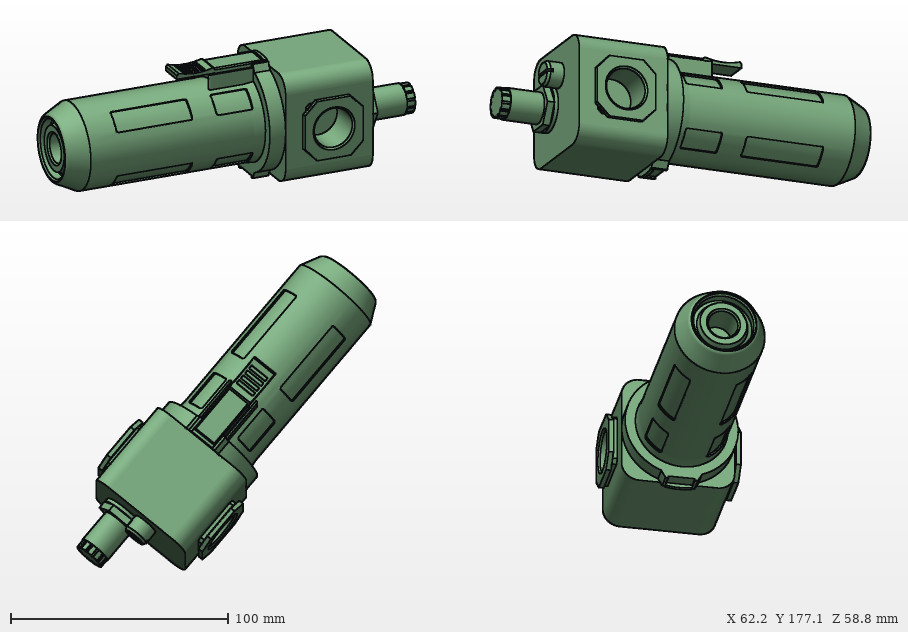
import cadquery as cq
import math

bowl_cone_top = 10.3
bowl_top = 98.5
collar_top = 106.5
body_top = 150.7
knob_top = 177.1

body_side = 53.1
body_corner_radius = 8.1

port_span = 62.2
port_y = 129.0
port_plate_side = 29.4
port_plate_corner = 6.2
port_plate_thickness = 2.3
port_neck_side = 24.8
port_neck_corner = 2.0
port_bore_diameter = 19.3
port_bore_depth = 17.7
port_bore_chamfer = 0.9

bowl_radius = 21.3
bowl_shoulder_radius = 21.8
bowl_shoulder_length = 5.7
bowl_end_radius = 16.8
bowl_end_rounding_height = 1.2
rim_outer_radius = 15.4
rim_inner_radius = 15.0
recess_radius = 14.2
recess_depth = 5.3
recess_floor_rise = 1.0
nozzle_base_radius = 12.0
nozzle_diameter = 22.0
nozzle_setback = 1.5
drain_diameter = 14.0
drain_mouth_diameter = 15.8
drain_depth = 17.7

window_width = 10.6
window_depth = 0.9
window_corner_radius = 0.9
window_spans = ((24.8, 63.2), (75.5, 93.7))
window_angles = (45, 135, 225, 315)

tab_base_half_width = 9.5
tab_base_z = 24.8
tab_top_half_width = 7.6
tab_top_z = 28.3
channel_floor_z = 27.5
lip_thickness = 1.8
lip_edge_z = 28.9
lip_crest_z = 29.4

latch_width = 12.4
latch_bottom_z = 26.5
latch_top_z = 28.9
latch_edge_chamfer = 0.7
latch_back_y = 104.8
thumb_start_y = 79.9
thumb_end_y = 60.7
thumb_peak_z = 29.4
thumb_dip_z = 28.2
thumb_slope = 0.9
guide_end_y = 76.2
guide_width = 16.8
guide_thickness = 1.0
guide_top_z = 27.0
guide_edge_radius = 0.7
grip_count = 4
grip_width = 9.5
grip_length = 1.8
grip_pitch = 3.0
grip_center_y = 70.1
grip_floor_z = 27.6

knob_x = 8.9
knob_z = -1.0
knob_diameter = 15.0
knob_grip_diameter = 14.3
knob_grip_length = 4.3
knob_notch_count = 12
knob_notch_width = 1.0
knob_notch_depth = 0.7
nut_top = 156.2
nut_bottom = 152.7
nut_across_flats = 19.3
washer_diameter = 22.0

plug_x = -3.0
plug_z = 11.9
plug_diameter = 12.0
plug_top = 158.9
plug_chamfer_radial = 0.9
plug_chamfer_axial = 1.5
plug_slot_width = 1.2
plug_slot_depth = 2.7


def section_at(y, x=0.0, z=0.0):
    """Workplane across the Y axis; extruding it goes towards -Y."""
    return cq.Workplane("XZ", origin=(x, y, z))


def rod(diameter, y_low, y_high, x=0.0, z=0.0):
    return section_at(y_high, x, z).circle(diameter / 2).extrude(y_high - y_low)


def block(x_size, y_low, y_high, z_low, z_high):
    """Box centred on X = 0."""
    face = section_at(y_high, 0, (z_low + z_high) / 2).rect(x_size, z_high - z_low)
    return face.extrude(y_high - y_low)


def make_body():
    body = section_at(body_top).rect(body_side, body_side).extrude(body_top - collar_top)
    return body.edges("|Y").fillet(body_corner_radius)


def port_block(side, corner, x_length):
    """Square block with chamfered corners running right through the body along X."""
    square = cq.Workplane("YZ", origin=(0, port_y, 0)).rect(side, side).extrude(x_length / 2, both=True)
    return square.edges("|X").chamfer(corner)


def make_ports():
    plates = port_block(port_plate_side, port_plate_corner, port_span)
    gap = cq.Workplane("XY").box(port_span - 2 * port_plate_thickness, body_top, body_side * 2)
    plates = plates.cut(gap.translate((0, port_y, 0)))
    necks = port_block(port_neck_side, port_neck_corner, port_span - 2 * port_plate_thickness)
    return plates, necks


def make_port_bore():
    """Blind bore on the -X side, with a chamfered mouth."""
    mouth_x = -port_span / 2
    radius = port_bore_diameter / 2
    profile = [
        (mouth_x, 0),
        (mouth_x, radius + port_bore_chamfer),
        (mouth_x + port_bore_chamfer, radius),
        (mouth_x + port_bore_depth, radius),
        (mouth_x + port_bore_depth, 0),
    ]
    bore = cq.Workplane("XY").polyline(profile).close().revolve(360, (0, 0), (1, 0))
    return bore.translate((0, port_y, 0))


def make_bowl():
    drain_chamfer = (drain_mouth_diameter - drain_diameter) / 2
    nozzle_radius = nozzle_diameter / 2
    half_section = (
        cq.Workplane("XY")
        .moveTo(0, collar_top)
        .lineTo(bowl_shoulder_radius, collar_top)
        .lineTo(bowl_shoulder_radius, bowl_top)
        .lineTo(bowl_radius, bowl_top - bowl_shoulder_length)
        .lineTo(bowl_radius, bowl_cone_top)
        .lineTo(bowl_end_radius, bowl_end_rounding_height)
        .tangentArcPoint((rim_outer_radius, 0), relative=False)
        .lineTo(rim_inner_radius, 0)
        .lineTo(recess_radius, rim_inner_radius - recess_radius)
        .lineTo(recess_radius, recess_depth)
        .lineTo(nozzle_base_radius, recess_depth - recess_floor_rise)
        .lineTo(nozzle_radius, nozzle_setback)
        .lineTo(drain_mouth_diameter / 2, nozzle_setback)
        .lineTo(drain_diameter / 2, nozzle_setback + drain_chamfer)
        .lineTo(drain_diameter / 2, drain_depth)
        .lineTo(0, drain_depth)
        .close()
    )
    return half_section.revolve(360, (0, 0), (0, 1))


def make_window_cutter(y_low, y_high, angle):
    """Rounded pad that removes a shallow layer down to a round floor."""
    pad = (
        cq.Workplane("XY", origin=(0, (y_low + y_high) / 2, 0))
        .rect(window_width, y_high - y_low)
        .extrude(body_side / 2)
        .edges("|Z")
        .fillet(window_corner_radius)
        .rotate((0, 0, 0), (0, 1, 0), angle)
    )
    return pad.cut(rod(2 * (bowl_radius - window_depth), 0, bowl_top))


def make_tab():
    """Tapered collar tab at +Z with a channel closed by a curved lip at its back."""
    outline = [
        (-tab_base_half_width, 0),
        (-tab_base_half_width, tab_base_z),
        (-tab_top_half_width, tab_top_z),
        (tab_top_half_width, tab_top_z),
        (tab_base_half_width, tab_base_z),
        (tab_base_half_width, 0),
    ]
    tab = section_at(collar_top).polyline(outline).close().extrude(collar_top - bowl_top)
    channel = block(latch_width, bowl_top, collar_top, channel_floor_z, tab_top_z)
    half = latch_width / 2
    lip = (
        section_at(collar_top)
        .moveTo(-half, tab_base_z)
        .lineTo(-half, lip_edge_z)
        .threePointArc((0, lip_crest_z), (half, lip_edge_z))
        .lineTo(half, tab_base_z)
        .close()
        .extrude(lip_thickness)
    )
    return tab.cut(channel).union(lip)


def make_collar():
    collar = rod(body_side, bowl_top, collar_top)
    tab = make_tab()
    return collar.union(tab).union(tab.mirror("XY"))


def make_guides():
    """Two thin rails beside the latch, standing on the bowl."""
    rails = block(guide_width, guide_end_y, bowl_top, 0, guide_top_z)
    rails = rails.edges("|Z and <Y").fillet(guide_edge_radius)
    opening = block(guide_width - 2 * guide_thickness, guide_end_y, bowl_top, 0, guide_top_z)
    return rails.cut(opening)


def make_latch():
    plate = block(latch_width, thumb_start_y, latch_back_y, latch_bottom_z, latch_top_z)
    plate = plate.faces(">Z").edges("|Y or >Y").chamfer(latch_edge_chamfer)
    thumb = (
        cq.Workplane("YZ", origin=(-latch_width / 2, 0, 0))
        .moveTo(thumb_start_y, latch_bottom_z)
        .lineTo(thumb_start_y, latch_top_z)
        .lineTo(thumb_start_y - thumb_slope, thumb_peak_z)
        .threePointArc(
            ((thumb_start_y + thumb_end_y) / 2, thumb_dip_z),
            (thumb_end_y + thumb_slope, thumb_peak_z),
        )
        .lineTo(thumb_end_y, thumb_peak_z - thumb_slope)
        .lineTo(thumb_end_y, latch_bottom_z)
        .close()
        .extrude(latch_width)
    )
    leg = block(latch_width, thumb_start_y, bowl_top, 0, latch_bottom_z)
    latch = plate.union(leg).union(thumb)
    for index in range(grip_count):
        y = grip_center_y + (index - (grip_count - 1) / 2) * grip_pitch
        groove = block(grip_width, y - grip_length / 2, y + grip_length / 2, grip_floor_z, thumb_peak_z)
        latch = latch.cut(groove)
    return latch


def make_knob():
    grip_bottom = knob_top - knob_grip_length
    knob = rod(knob_diameter, body_top, grip_bottom, knob_x, knob_z)
    grip = rod(knob_grip_diameter, grip_bottom, knob_top, knob_x, knob_z)
    notches = (
        section_at(knob_top, knob_x, knob_z)
        .polarArray(knob_grip_diameter / 2, 180 / knob_notch_count, 360, knob_notch_count)
        .rect(2 * knob_notch_depth, knob_notch_width)
        .extrude(knob_grip_length)
    )
    nut_across_corners = nut_across_flats / math.cos(math.pi / 6)
    nut = (
        section_at(nut_top, knob_x, knob_z)
        .polygon(6, nut_across_corners)
        .extrude(nut_top - nut_bottom)
    )
    washer = rod(washer_diameter, body_top, nut_bottom, knob_x, knob_z)
    return knob.union(grip.cut(notches)).union(nut).union(washer)


def make_plug():
    plug = rod(plug_diameter, body_top, plug_top, plug_x, plug_z)
    plug = plug.faces(">Y").chamfer(plug_chamfer_axial, plug_chamfer_radial)
    slot = block(body_side, plug_top - plug_slot_depth, plug_top, -plug_slot_width / 2, plug_slot_width / 2)
    return plug.cut(slot.translate((0, 0, plug_z)))


result = make_body()
for port_part in make_ports():
    result = result.union(port_part)

bowl = make_bowl()
for y_low, y_high in window_spans:
    for angle in window_angles:
        bowl = bowl.cut(make_window_cutter(y_low, y_high, angle))

result = result.union(make_collar()).union(bowl)
result = result.union(make_guides()).union(make_latch())
result = result.union(make_knob()).union(make_plug())

port_bore = make_port_bore()
result = result.cut(port_bore).cut(port_bore.mirror("YZ"))